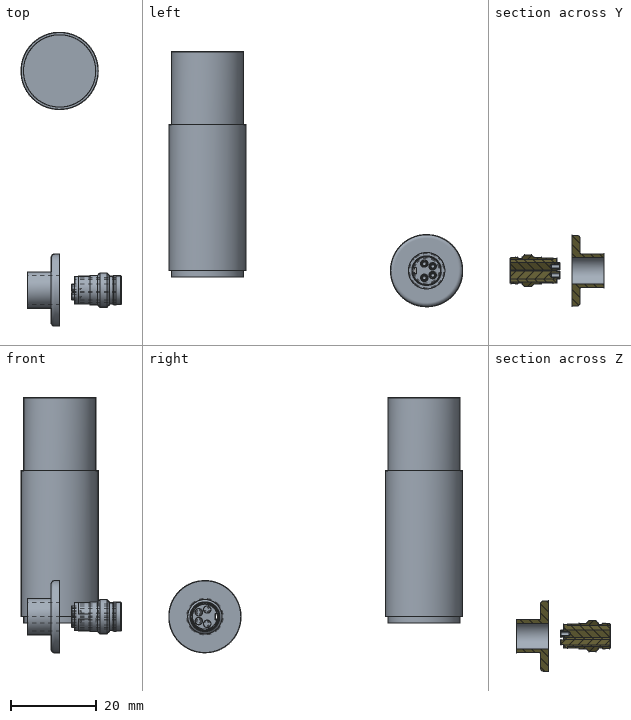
import cadquery as cq
import math

overall_length = 68.4
overall_width = 23.4

barrel_diameter = 18.0
barrel_end_diameter = 16.8
barrel_foot = 1.5
barrel_shoulder = 34.0
barrel_top = 50.95

flange_diameter = 16.8
flange_thickness = 2.0
flange_fillet = 0.9
sleeve_diameter = 8.5
sleeve_bore = 6.7
sleeve_length = 7.5

barrel_y = overall_length - (flange_diameter + barrel_diameter) / 2

insert_start = 3.5
shell_start = 4.4
collar_start = 7.1
ring_start = 9.4
ring_end = 11.0
groove_end = 12.4
crest_start = 12.65
crest_end = 13.05
shell_end = overall_width - barrel_diameter / 2

shell_front_diameter = 6.55
collar_diameter = 6.9
ring_diameter = 8.0
groove_diameter = 6.5
tip_diameter = 6.8
tip_chamfer = 0.2
shell_bore = 5.8

nose_diameter = 6.5
tab_width = 1.15
key_width = 1.4
key_floor = 2.45

contact_positions = 5
contact_circle_diameter = 3.5
contact_diameter = 1.7
contact_start = 2.8
contact_edge_chamfer = 0.1
cup_diameter = 0.9
cup_depth = 2.0
cup_tip_depth = 0.35


def rod(diameter, start, end):
    """Cylinder on the X axis between two stations."""
    return cq.Workplane("YZ").workplane(offset=start).circle(diameter / 2).extrude(end - start)


def turned(outline):
    """Solid turned about the X axis from a closed outline of (station, radius) points."""
    return cq.Workplane("XY").polyline(outline).close().revolve(360, (0, 0, 0), (1, 0, 0))


def bar(start, end, y_low, y_high, width):
    """Block from one station to another, between two Y positions and centred on Z = 0."""
    return cq.Workplane("XY").box(end - start, y_high - y_low, width).translate(
        ((start + end) / 2, (y_low + y_high) / 2, 0)
    )


def at_contacts(shape):
    """Copies of a shape on the X axis, one at each contact position."""
    copies = []
    for index in range(1, contact_positions):
        angle = 2 * math.pi * index / contact_positions
        y = contact_circle_diameter / 2 * math.cos(angle)
        z = contact_circle_diameter / 2 * math.sin(angle)
        copies.append(shape.translate((0, y, z)))
    return copies


def make_barrel():
    length = barrel_foot + barrel_top
    core = cq.Workplane("XY").workplane(offset=-barrel_foot).circle(barrel_end_diameter / 2).extrude(length)
    body = cq.Workplane("XY").circle(barrel_diameter / 2).extrude(barrel_shoulder)
    return core.union(body).translate((0, barrel_y, 0))


def make_flanged_sleeve():
    flange = rod(flange_diameter, -flange_thickness, 0).faces("<X").edges().fillet(flange_fillet)
    sleeve = rod(sleeve_diameter, -sleeve_length, 0)
    bore = rod(sleeve_bore, -sleeve_length, 0)
    return flange.union(sleeve).cut(bore)


def make_shell():
    front_r = shell_front_diameter / 2
    collar_r = collar_diameter / 2
    ring_r = ring_diameter / 2
    groove_r = groove_diameter / 2
    tip_r = tip_diameter / 2
    ring_chamfer = ring_r - collar_r
    outline = [
        (shell_start, 0),
        (shell_start, front_r),
        (collar_start, front_r),
        (collar_start, collar_r),
        (ring_start - ring_chamfer, collar_r),
        (ring_start, ring_r),
        (ring_end, ring_r),
        (ring_end + ring_chamfer, collar_r),
        (ring_end + ring_chamfer, groove_r),
        (groove_end, groove_r),
        (crest_start, collar_r),
        (crest_end, collar_r),
        (crest_end, tip_r),
        (shell_end - tip_chamfer, tip_r),
        (shell_end, tip_r - tip_chamfer),
        (shell_end, 0),
    ]
    notches = bar(shell_start, collar_start, -front_r, front_r, tab_width)
    return turned(outline).cut(notches).cut(rod(shell_bore, shell_start, shell_end))


def make_insert():
    nose_r = nose_diameter / 2
    nose = rod(nose_diameter, insert_start, shell_start)
    core = rod(shell_bore, insert_start, shell_end)
    tab = bar(shell_start, collar_start, -nose_r, 0, tab_width).intersect(
        rod(nose_diameter, shell_start, collar_start)
    )
    insert = core.union(nose).union(tab)
    insert = insert.cut(bar(insert_start, shell_end, key_floor, nose_r, key_width))
    for hole in at_contacts(rod(contact_diameter, insert_start, shell_end)):
        insert = insert.cut(hole)
    return insert


def make_contact():
    cup_r = cup_diameter / 2
    cup_bottom = contact_start + cup_depth
    cup = turned(
        [
            (contact_start, 0),
            (contact_start, cup_r),
            (cup_bottom, cup_r),
            (cup_bottom + cup_tip_depth, 0),
        ]
    )
    contact = rod(contact_diameter, contact_start, shell_end).cut(cup)
    return contact.faces("<X").edges().chamfer(contact_edge_chamfer)


barrel = make_barrel()
flanged_sleeve = make_flanged_sleeve()
shell = make_shell()
insert = make_insert()
contacts = at_contacts(make_contact())

result = cq.Compound.makeCompound(
    [
        barrel.val(),
        flanged_sleeve.val(),
        shell.val(),
        insert.val(),
        *[contact.val() for contact in contacts],
    ]
)